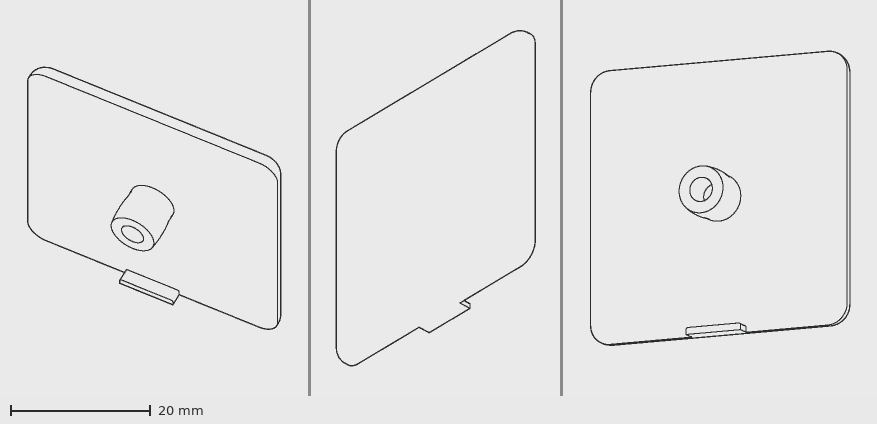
import cadquery as cq
import math

plate_side = 40.0
plate_thickness = 2.6
corner_radius = 3.0
back_edge_radius = 2.0

post_length = 6.4
post_radius = 6.85 / 2
bulge_radius = 7.2 / 2
bulge_start = 1.4
crest_start = 3.4
crest_end = 4.4

hole_radius = 3.5 / 2
hole_depth = 5.0
drill_point_angle = 118.0

tab_width = 8.5
tab_height = 1.0
tab_length = 2.0
tab_corner_radius = 0.3


def make_plate():
    plate = cq.Workplane("XZ").rect(plate_side, plate_side).extrude(-plate_thickness)
    plate = plate.edges("|Y").fillet(corner_radius)
    return plate.faces(">Y").edges().fillet(back_edge_radius)


def flank_middle(base, crest):
    """Midpoint of the flank arc that runs tangent into the cylindrical crest."""
    rise = bulge_radius - post_radius
    run = abs(crest - base)
    arc_radius = (run**2 + rise**2) / (2 * rise)
    half_run = run / 2
    drop = arc_radius - math.sqrt(arc_radius**2 - half_run**2)
    return (bulge_radius - drop, -(base + crest) / 2)


def make_post():
    profile = (
        cq.Workplane("XY")
        .lineTo(post_radius, 0)
        .lineTo(post_radius, -bulge_start)
        .threePointArc(flank_middle(bulge_start, crest_start), (bulge_radius, -crest_start))
        .lineTo(bulge_radius, -crest_end)
        .threePointArc(flank_middle(post_length, crest_end), (post_radius, -post_length))
        .lineTo(0, -post_length)
        .close()
    )
    return profile.revolve(360, (0, 0), (0, 1))


def make_hole():
    point_depth = hole_radius / math.tan(math.radians(drill_point_angle / 2))
    hole_bottom = hole_depth - post_length
    profile = (
        cq.Workplane("XY")
        .moveTo(0, -post_length)
        .lineTo(hole_radius, -post_length)
        .lineTo(hole_radius, hole_bottom)
        .lineTo(0, hole_bottom + point_depth)
        .close()
    )
    return profile.revolve(360, (0, 0), (0, 1))


def make_tab():
    tab_center_z = (tab_height - plate_side) / 2
    tab = cq.Workplane("XZ").center(0, tab_center_z).rect(tab_width, tab_height).extrude(tab_length)
    return tab.edges("|Y and >Z").fillet(tab_corner_radius)


result = make_plate().union(make_post()).union(make_tab()).cut(make_hole())